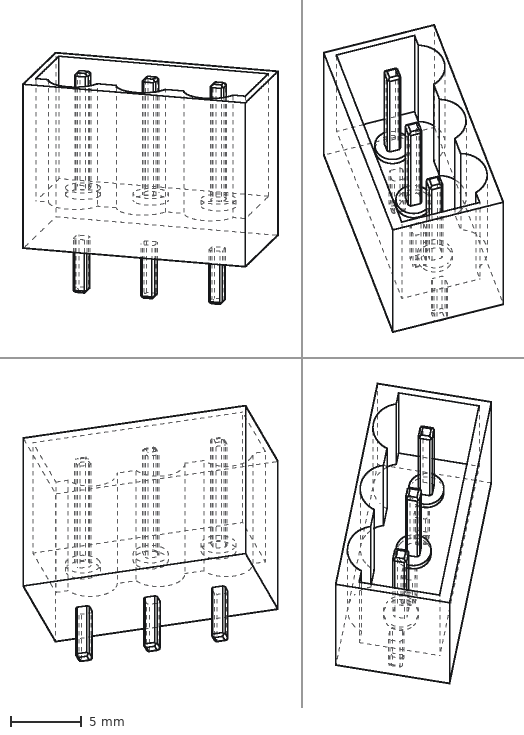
import cadquery as cq

HOUSING_LENGTH = 16.4
HOUSING_WIDTH = 8.2
HOUSING_HEIGHT = 12.1

END_WALL = 0.48
BACK_WALL = 0.8
FRONT_WALL = 1.6
CAVITY_DEPTH = 9.02
CAVITY_FLOOR_Z = HOUSING_HEIGHT - CAVITY_DEPTH

SCALLOP_RADIUS = 1.9
SCALLOP_FRONT_WALL = 0.3
SCALLOP_Y = -HOUSING_WIDTH / 2 + SCALLOP_FRONT_WALL + SCALLOP_RADIUS

PIN_COUNT = 3
PIN_PITCH = 5.0
PIN_SIZE = 1.0
PIN_TAIL = 4.0
PIN_TOP_Z = HOUSING_HEIGHT
PIN_JOINT_Z = CAVITY_FLOOR_Z / 2
TAIL_Y = -0.35
PIN_TIP_CHAMFER = 0.2
PIN_CORNER_CHAMFER = 0.15
COLLAR_DIAMETER = 2.5
COLLAR_HEIGHT = 0.5

PIN_XS = [(index - (PIN_COUNT - 1) / 2) * PIN_PITCH for index in range(PIN_COUNT)]


def make_housing():
    """Solid block that the cavity is cut from."""
    return cq.Workplane("XY").box(
        HOUSING_LENGTH, HOUSING_WIDTH, HOUSING_HEIGHT, centered=(True, True, False)
    )


def make_cavity():
    """Rectangular cavity joined with one scallop per pin."""
    floor = cq.Workplane("XY", origin=(0, 0, CAVITY_FLOOR_Z))
    cavity_length = HOUSING_LENGTH - 2 * END_WALL
    cavity_width = HOUSING_WIDTH - FRONT_WALL - BACK_WALL
    cavity_y = (FRONT_WALL - BACK_WALL) / 2
    cavity = floor.center(0, cavity_y).rect(cavity_length, cavity_width).extrude(CAVITY_DEPTH)
    scallop_centres = [(x, SCALLOP_Y) for x in PIN_XS]
    scallops = floor.pushPoints(scallop_centres).circle(SCALLOP_RADIUS).extrude(CAVITY_DEPTH)
    return cavity.union(scallops)


def make_pin(x, y, bottom_z, top_z, tip):
    """Square pin centred on (x, y), bevelled along its corners and tapered at the tip face."""
    blank = cq.Workplane("XY", origin=(x, y, bottom_z)).rect(PIN_SIZE, PIN_SIZE).extrude(top_z - bottom_z)
    tapered = blank.faces(tip).chamfer(PIN_TIP_CHAMFER)
    bevelled = blank.edges("|Z").chamfer(PIN_CORNER_CHAMFER)
    return tapered.intersect(bevelled)


def make_collar(x):
    """Round collar on the cavity floor around the pin at x."""
    return (
        cq.Workplane("XY", origin=(x, 0, CAVITY_FLOOR_Z))
        .circle(COLLAR_DIAMETER / 2)
        .extrude(COLLAR_HEIGHT)
    )


result = make_housing().cut(make_cavity())
for pin_x in PIN_XS:
    contact = make_pin(pin_x, 0, PIN_JOINT_Z, PIN_TOP_Z, ">Z")
    tail = make_pin(pin_x, TAIL_Y, -PIN_TAIL, PIN_JOINT_Z, "<Z")
    result = result.union(make_collar(pin_x)).union(contact).union(tail)